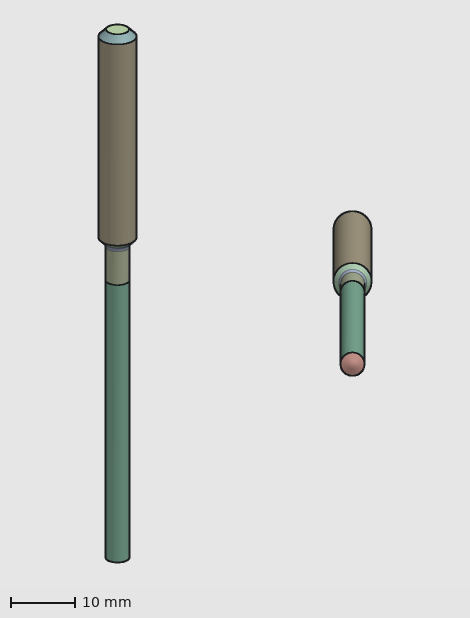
import cadquery as cq
import math

total_length = 92.0
shank_radius = 6.0 / 2
drill_radius = 3.8 / 2
shank_length = 36.0
top_chamfer = 1.2
top_face_radius = shank_radius - top_chamfer
drill_length = 48.7

point_angle = math.radians(140)
point_height = drill_radius / math.tan(point_angle / 2)

neck_cone_angle = math.radians(45)
neck_fillet_radius = 1.0

chamfer_bottom = total_length - top_chamfer
shank_bottom = total_length - shank_length

cone_end_radius = drill_radius + neck_fillet_radius * (1 - math.cos(neck_cone_angle))
cone_height = (shank_radius - cone_end_radius) / math.tan(neck_cone_angle)
cone_end = shank_bottom - cone_height
fillet_bottom = cone_end - neck_fillet_radius * math.sin(neck_cone_angle)
half_angle = neck_cone_angle / 2
fillet_middle_radius = drill_radius + neck_fillet_radius * (1 - math.cos(half_angle))
fillet_middle = fillet_bottom + neck_fillet_radius * math.sin(half_angle)


def revolve_about_z(profile):
    """Turn a closed radius-height profile, drawn on the -Y side, about Z."""
    return profile.close().revolve(360, (0, 0, 0), (0, 1, 0))


def make_holder():
    """Chamfered shank and filleted neck, flat where it joins the drill."""
    profile = (
        cq.Workplane("YZ")
        .moveTo(0, drill_length)
        .lineTo(-drill_radius, drill_length)
        .lineTo(-drill_radius, fillet_bottom)
        .threePointArc((-fillet_middle_radius, fillet_middle), (-cone_end_radius, cone_end))
        .lineTo(-shank_radius, shank_bottom)
        .lineTo(-shank_radius, chamfer_bottom)
        .lineTo(-top_face_radius, total_length)
        .lineTo(0, total_length)
    )
    return revolve_about_z(profile)


def make_drill():
    """Plain rod with a conical point at its lower end."""
    profile = (
        cq.Workplane("YZ")
        .moveTo(0, 0)
        .lineTo(-drill_radius, point_height)
        .lineTo(-drill_radius, drill_length)
        .lineTo(0, drill_length)
    )
    return revolve_about_z(profile)


holder = make_holder()
drill = make_drill()

result = cq.Compound.makeCompound([holder.val(), drill.val()])